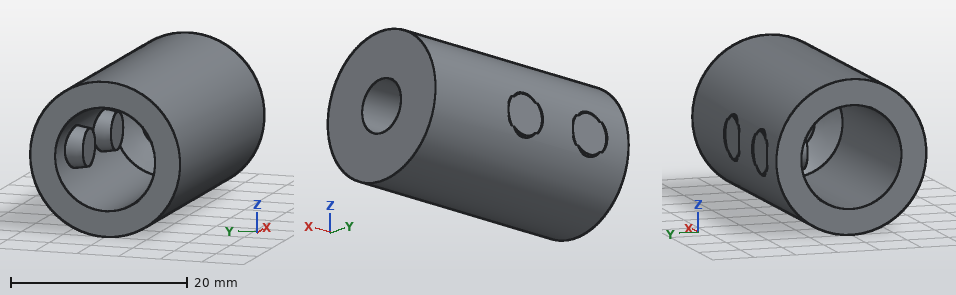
import cadquery as cq
import math

length = 30.0
outer_radius = 9.0
bore_radius = 6.0
through_radius = 3.25
bore_depth = 21.0
cone_half_angle = 59.0
cone_length = (bore_radius - through_radius) / math.tan(math.radians(cone_half_angle))

pin_spacing = 10.0
first_pin_x = 6.0
pin_positions = [first_pin_x, first_pin_x + pin_spacing]
pin_radius = 2.67
pin_tip_radius = 2.2
pin_tip_y = 3.95
pin_head_y = 8.82
taper_angle = 9.7
taper_length = (pin_radius - pin_tip_radius) / math.tan(math.radians(taper_angle))
pin_head_chamfer = 0.2


def make_sleeve():
    """Revolve the wall section, including the conical floor of the bore."""
    return (
        cq.Workplane("XY")
        .moveTo(0, bore_radius)
        .lineTo(bore_depth, bore_radius)
        .lineTo(bore_depth + cone_length, through_radius)
        .lineTo(length, through_radius)
        .lineTo(length, outer_radius)
        .lineTo(0, outer_radius)
        .close()
        .revolve(360, (0, 0, 0), (1, 0, 0))
    )


def make_head_recess(x):
    """Clearance that lowers the sleeve surface down to the pin head."""
    recess_depth = outer_radius - pin_head_y
    return (
        cq.Workplane("XZ", origin=(x, pin_head_y, 0))
        .circle(pin_radius)
        .extrude(-recess_depth)
    )


def make_pin(x):
    """Tapered pin with a chamfered flat head and a flat tip inside the bore."""
    return (
        cq.Workplane("XY")
        .moveTo(x, pin_tip_y)
        .lineTo(x + pin_tip_radius, pin_tip_y)
        .lineTo(x + pin_radius, pin_tip_y + taper_length)
        .lineTo(x + pin_radius, pin_head_y - pin_head_chamfer)
        .lineTo(x + pin_radius - pin_head_chamfer, pin_head_y)
        .lineTo(x, pin_head_y)
        .close()
        .revolve(360, (x, 0, 0), (x, 1, 0))
    )


result = make_sleeve()
for pin_x in pin_positions:
    result = result.union(make_pin(pin_x)).cut(make_head_recess(pin_x))